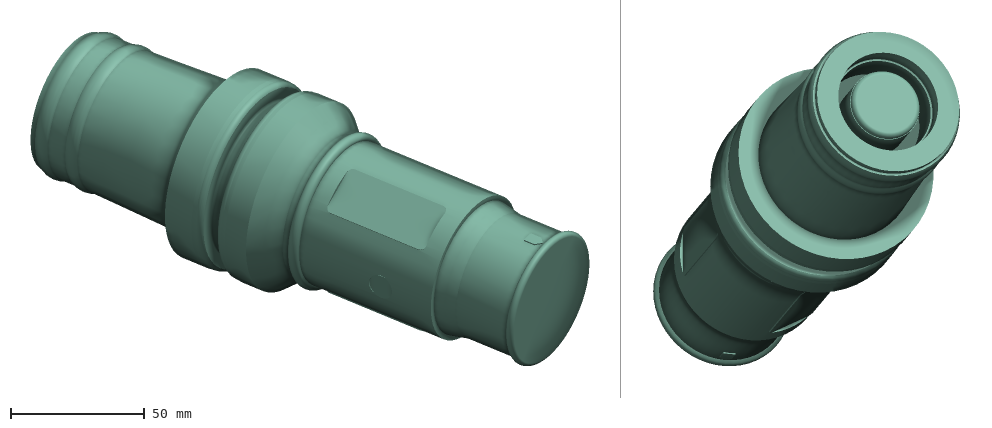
import cadquery as cq

LENGTH = 215.1
FLANGE_R = 38.0
BODY_DIAMETER = 57.9
BODY_R = BODY_DIAMETER / 2

SPIGOT_END_R = 27.8
SPIGOT_R = 28.6
SPIGOT_BASE_R = 30.3
BEAD_R = 29.5
BEAD_STARTS = (2.5, 16.0)
BEAD_WIDTH = 6.0

FLANGE_START = 67.1
LEFT_FLANGE_END = 83.3
RIGHT_FLANGE_START = 89.7
CONE_START = 103.5
CONE_END = 113.8
GROOVE_DIAMETER = 61.7
GROOVE_R = GROOVE_DIAMETER / 2
GROOVE_FILLET = 1.0

EDGE_TAPER_WIDTH = 1.7
EDGE_TAPER_DROP = 0.2
EDGE_ROUND_WIDTH = 2.5
EDGE_ROUND_DROP = 1.5

RING_START = 116.8
RING_WIDTH = 4.5
RING_R = 31.5
BODY_END = 180.3

TAPER_START_R = 27.0
TAPER_END = 189.1
SOCKET_R = 25.2
RIM_START = 212.0
RIM_R = 27.0

BORE_DIAMETER = 39.0
BORE_R = BORE_DIAMETER / 2
BORE_STEP_DEPTH = 6.9
INNER_BORE_R = 18.7
BORE_DEPTH = 21.5
PIN_R = 13.5
PIN_TIP_R = 13.3
PIN_TIP_LENGTH = 2.2
PIN_ROUND = 1.7
PIN_RECESS = 2.2

PAD_COUNT = 3
FIRST_PAD_ANGLE = -90
PAD_START = 128.5
PAD_LENGTH = 44.0
PAD_WIDTH = 19.4
PAD_HEIGHT = 27.8
PAD_CORNER_R = 2.4

PLUG_X = 157.7
PLUG_R = 5.2
PLUG_HEIGHT = 28.6

ARROW_START = 204.4
ARROW_SHOULDER = 209.1
ARROW_TIP = 211.3
ARROW_WIDTH = 4.7
ARROW_HEIGHT = 25.5
ARROW_ROOT_DEPTH = 2.2

TOOL_OVERLAP = 6.5


def turned_body():
    profile = cq.Workplane("XY").lineTo(0, SPIGOT_END_R).lineTo(BEAD_STARTS[0], SPIGOT_END_R)
    for start in BEAD_STARTS:
        profile = profile.lineTo(start, SPIGOT_R)
        profile = profile.threePointArc((start + BEAD_WIDTH / 2, BEAD_R), (start + BEAD_WIDTH, SPIGOT_R))
    taper_r = FLANGE_R - EDGE_TAPER_DROP
    corner_r = taper_r - EDGE_ROUND_DROP
    left_round = LEFT_FLANGE_END - EDGE_ROUND_WIDTH
    right_round = RIGHT_FLANGE_START + EDGE_ROUND_WIDTH
    fillet_top_r = GROOVE_R + GROOVE_FILLET
    profile = (
        profile.lineTo(FLANGE_START, SPIGOT_BASE_R)
        .lineTo(FLANGE_START, FLANGE_R)
        .lineTo(left_round - EDGE_TAPER_WIDTH, FLANGE_R)
        .lineTo(left_round, taper_r)
        .radiusArc((LEFT_FLANGE_END, corner_r), EDGE_ROUND_WIDTH)
        .lineTo(LEFT_FLANGE_END, fillet_top_r)
        .radiusArc((LEFT_FLANGE_END + GROOVE_FILLET, GROOVE_R), -GROOVE_FILLET)
        .lineTo(RIGHT_FLANGE_START - GROOVE_FILLET, GROOVE_R)
        .radiusArc((RIGHT_FLANGE_START, fillet_top_r), -GROOVE_FILLET)
        .lineTo(RIGHT_FLANGE_START, corner_r)
        .radiusArc((right_round, taper_r), EDGE_ROUND_WIDTH)
        .lineTo(right_round + EDGE_TAPER_WIDTH, FLANGE_R)
        .lineTo(CONE_START, FLANGE_R)
        .lineTo(CONE_END, BODY_R)
        .lineTo(RING_START, BODY_R)
        .threePointArc((RING_START + RING_WIDTH / 2, RING_R), (RING_START + RING_WIDTH, BODY_R))
        .lineTo(BODY_END, BODY_R)
        .lineTo(BODY_END, TAPER_START_R)
        .lineTo(TAPER_END, SOCKET_R)
        .lineTo(RIM_START, SOCKET_R)
        .threePointArc(((RIM_START + LENGTH) / 2, RIM_R), (LENGTH, SOCKET_R))
        .lineTo(LENGTH, 0)
        .close()
    )
    return profile.revolve(360, (0, 0, 0), (1, 0, 0))


def x_cylinder(radius, start, end):
    return cq.Workplane("YZ", origin=(start, 0, 0)).circle(radius).extrude(end - start)


def end_recess():
    tip_end = PIN_RECESS + PIN_TIP_LENGTH
    bore = x_cylinder(BORE_R, 0, BORE_STEP_DEPTH).union(x_cylinder(INNER_BORE_R, 0, BORE_DEPTH))
    pin_tip = x_cylinder(PIN_TIP_R, PIN_RECESS, tip_end).faces("<X").edges().fillet(PIN_ROUND)
    return bore.cut(x_cylinder(PIN_R, tip_end, BORE_DEPTH)).cut(pin_tip)


def pad_block(bottom, top):
    return (
        cq.Workplane("XY", origin=(PAD_START + PAD_LENGTH / 2, 0, bottom))
        .rect(PAD_LENGTH, PAD_WIDTH)
        .extrude(top - bottom)
        .edges("|Z")
        .fillet(PAD_CORNER_R)
    )


def plug_cylinder(bottom, top):
    return (
        cq.Workplane("XZ", origin=(PLUG_X, -bottom, 0))
        .circle(PLUG_R)
        .extrude(top - bottom)
    )


def arrow_mark():
    half = ARROW_WIDTH / 2
    outline = [
        (ARROW_START, -half),
        (ARROW_SHOULDER, -half),
        (ARROW_TIP, 0),
        (ARROW_SHOULDER, half),
        (ARROW_START, half),
    ]
    base = SOCKET_R - ARROW_ROOT_DEPTH
    return cq.Workplane("XY", origin=(0, 0, base)).polyline(outline).close().extrude(ARROW_HEIGHT - base)


def add_flat_pads(part):
    cutter = pad_block(PAD_HEIGHT, PAD_HEIGHT + TOOL_OVERLAP)
    slab = pad_block(PAD_HEIGHT - TOOL_OVERLAP, PAD_HEIGHT)
    for index in range(PAD_COUNT):
        angle = FIRST_PAD_ANGLE + index * 360 / PAD_COUNT
        part = part.cut(cutter.rotate((0, 0, 0), (1, 0, 0), angle))
        part = part.union(slab.rotate((0, 0, 0), (1, 0, 0), angle))
    return part


def add_plug(part):
    part = part.cut(plug_cylinder(PLUG_HEIGHT, PLUG_HEIGHT + TOOL_OVERLAP))
    return part.union(plug_cylinder(PLUG_HEIGHT - TOOL_OVERLAP, PLUG_HEIGHT))


def add_arrow_marks(part):
    mark = arrow_mark()
    return part.union(mark).union(mark.mirror("XY"))


result = turned_body().cut(end_recess())
result = add_flat_pads(result)
result = add_plug(result)
result = add_arrow_marks(result)